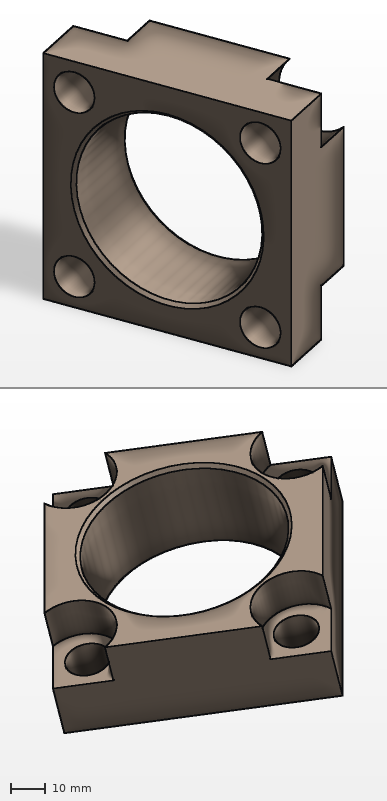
import cadquery as cq

side = 82.55
thickness = 31.75

bore_diameter = 61.8
bore_chamfer = 1.2

bolt_spacing = 61.9
bolt_hole_diameter = 13.5

pocket_radius = 12.7
pocket_depth = 13.5
pocket_spacing = 65.0


def cylinder_along_y(radius, x, z, y_start, length):
    """Solid cylinder running in +Y from y_start."""
    return cq.Workplane(
        cq.Solid.makeCylinder(radius, length, cq.Vector(x, y_start, z), cq.Vector(0, 1, 0))
    )


def make_block():
    return cq.Workplane("XY").box(side, thickness, side, centered=(True, False, True))


def cut_bore(body):
    """Through bore with both rims chamfered."""
    bored = body.cut(cylinder_along_y(bore_diameter / 2, 0, 0, 0, thickness))
    return bored.edges("%CIRCLE").chamfer(bore_chamfer)


def cut_bolt_corner(body, x_sign, z_sign):
    """Through bolt hole and the back pocket that opens the block's corner."""
    hole = cylinder_along_y(
        bolt_hole_diameter / 2,
        x_sign * bolt_spacing / 2,
        z_sign * bolt_spacing / 2,
        0,
        thickness,
    )
    pocket = cylinder_along_y(
        pocket_radius,
        x_sign * pocket_spacing / 2,
        z_sign * pocket_spacing / 2,
        thickness - pocket_depth,
        pocket_depth,
    )
    return body.cut(hole).cut(pocket)


result = cut_bore(make_block())
for x_sign in (-1, 1):
    for z_sign in (-1, 1):
        result = cut_bolt_corner(result, x_sign, z_sign)